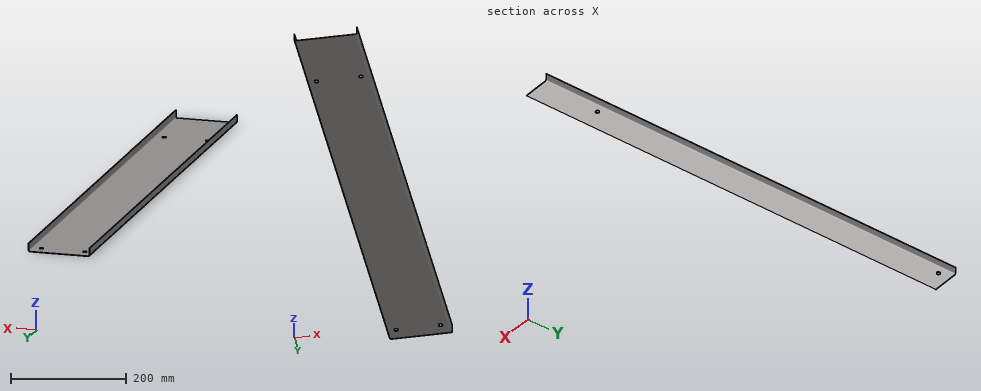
import cadquery as cq

length = 900.0
width = 112.0
height = 15.0
thickness = 1.35
bend_inner_radius = 2.0
bend_outer_radius = 4.0

hole_spacing_x = 78.0
rear_hole_y = 425.0
front_hole_y = -325.0
hole_diameter = 7.0


def rounded_trough(outer_width, floor_z, bend_radius):
    """Solid bar whose two lower long edges are rounded."""
    bar_height = height - floor_z
    return (
        cq.Workplane("XY")
        .box(outer_width, length, bar_height, centered=(True, True, False))
        .edges("|Y and <Z")
        .fillet(bend_radius)
        .translate((0, 0, floor_z))
    )


def web_holes(y_centre):
    """Cutters for a pair of round holes side by side."""
    return (
        cq.Workplane("XY")
        .center(0, y_centre)
        .rarray(hole_spacing_x, 9, 2, 1)
        .circle(hole_diameter / 2)
        .extrude(height)
    )


outside = rounded_trough(width, 0, bend_outer_radius)
inside = rounded_trough(width - 2 * thickness, thickness, bend_inner_radius)
result = outside.cut(inside)

for hole_y in (rear_hole_y, front_hole_y):
    result = result.cut(web_holes(hole_y))